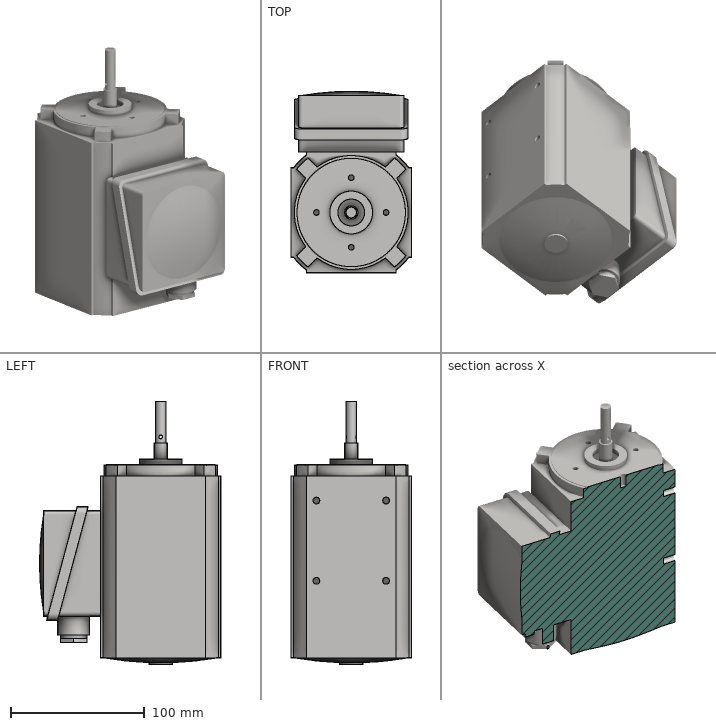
import cadquery as cq
import math

BODY_SIDE = 90.0
BODY_HEIGHT = 136.0
BODY_FLAT = 67.0
CORNER_STEP = 2.0

SIDE_HOLE_DIA = 5.0
SIDE_HOLE_DEPTH = 10.0
SIDE_HOLE_SPACING_X = 52.0
SIDE_HOLE_SPACING_Z = 60.0
SIDE_HOLE_CENTER_Z = 87.5

FLANGE_DIA = 85.0
FLANGE_THICKNESS = 8.0
LUG_WIDTH = 12.0
LUG_TIP_RADIUS = 52.0
FACE_DIA = 81.0
FACE_THICKNESS = 0.5
FACE_HOLE_DIA = 4.2
FACE_HOLE_DEPTH = 10.0
FACE_HOLE_CIRCLE_DIA = 52.0

COLLAR_DIA = 32.0
COLLAR_HEIGHT = 4.0
COLLAR_BORE_DIA = 20.0
COLLAR_BORE_DEPTH = 4.0

SHAFT_DIA = 10.0
SHAFT_SHOULDER_Z = 160.3
SHAFT_TIP_DIA = 8.0
SHAFT_TIP_Z = 191.5
CROSS_HOLE_DIA = 2.5
CROSS_HOLE_Z = 165.0

END_DOME_RADIUS = 42.0
END_DOME_HEIGHT = 3.7
END_BOSS_DIA = 17.5
END_BOSS_Z = -5.0

BOX_SIDE = 79.0
BOX_DEPTH = 42.5
BOX_CENTER_Z = 70.5
BOX_CORNER_RADIUS = 3.0
LID_DOME_RADIUS = 36.0
LID_DOME_HEIGHT = 3.0

BAND_SIDE = 85.0
BAND_CORNER_RADIUS = 5.0
BAND_WIDTH_Y = 8.2
BAND_TILT = 15.0
BAND_CENTER_OFFSET = 24.7

GLAND_X = -15.0
GLAND_OFFSET_Y = 20.0
GLAND_DIA = 24.0
GLAND_LENGTH = 14.0
NUT_ACROSS_FLATS = 20.0
NECK_LENGTH = 2.5
NUT_LENGTH = 3.0

HALF_SIDE = BODY_SIDE / 2
FLANGE_TOP = BODY_HEIGHT + FLANGE_THICKNESS
FACE_Z = FLANGE_TOP + FACE_THICKNESS
COLLAR_TOP = FACE_Z + COLLAR_HEIGHT
BOX_BASE_Y = HALF_SIDE


def cylinder(diameter, bottom, top):
    """Cylinder on the Z axis between two heights."""
    return cq.Workplane("XY").workplane(offset=bottom).circle(diameter / 2).extrude(top - bottom)


def dome(base_radius, height):
    """Spherical cap on Z = 0, bulging toward +Z."""
    sphere_radius = (base_radius ** 2 + height ** 2) / (2 * height)
    half_angle = math.asin(base_radius / sphere_radius) / 2
    arc_middle = (
        sphere_radius * math.sin(half_angle),
        height - sphere_radius * (1 - math.cos(half_angle)),
    )
    profile = (
        cq.Workplane("XZ")
        .lineTo(base_radius, 0)
        .threePointArc(arc_middle, (0, height))
        .close()
    )
    return profile.revolve(360, (0, 0, 0), (0, 1, 0))


def make_body():
    inset = HALF_SIDE - CORNER_STEP
    corner_cylinder = cylinder(2 * math.hypot(inset, BODY_FLAT / 2), 0, BODY_HEIGHT)
    core = cq.Workplane("XY").rect(2 * inset, 2 * inset).extrude(BODY_HEIGHT)
    body = core.intersect(corner_cylinder)
    for length_x, length_y in ((BODY_SIDE, BODY_FLAT), (BODY_FLAT, BODY_SIDE)):
        body = body.union(cq.Workplane("XY").rect(length_x, length_y).extrude(BODY_HEIGHT))
    return body


def make_side_holes():
    return (
        cq.Workplane("XZ", origin=(0, -HALF_SIDE, SIDE_HOLE_CENTER_Z))
        .rarray(SIDE_HOLE_SPACING_X, SIDE_HOLE_SPACING_Z, 2, 2)
        .circle(SIDE_HOLE_DIA / 2)
        .extrude(-SIDE_HOLE_DEPTH)
    )


def make_flange():
    lugs = cq.Workplane("XY").workplane(offset=BODY_HEIGHT)
    bar_length = 2 * LUG_TIP_RADIUS
    lugs = lugs.rect(bar_length, LUG_WIDTH).extrude(FLANGE_THICKNESS)
    lugs = lugs.union(lugs.rotate((0, 0, 0), (0, 0, 1), 90))
    lugs = lugs.rotate((0, 0, 0), (0, 0, 1), 45)
    lugs = lugs.intersect(cylinder(2 * LUG_TIP_RADIUS, BODY_HEIGHT, FLANGE_TOP))
    flange = cylinder(FLANGE_DIA, BODY_HEIGHT, FLANGE_TOP).union(lugs)
    flange = flange.union(cylinder(FACE_DIA, FLANGE_TOP, FACE_Z))
    return flange.union(cylinder(COLLAR_DIA, FACE_Z, COLLAR_TOP))


def make_face_holes():
    return (
        cq.Workplane("XY")
        .workplane(offset=FACE_Z)
        .polarArray(FACE_HOLE_CIRCLE_DIA / 2, 0, 360, 4)
        .circle(FACE_HOLE_DIA / 2)
        .extrude(-FACE_HOLE_DEPTH)
    )


def make_shaft():
    shaft = cylinder(SHAFT_DIA, BODY_HEIGHT, SHAFT_SHOULDER_Z)
    shaft = shaft.union(cylinder(SHAFT_TIP_DIA, SHAFT_SHOULDER_Z, SHAFT_TIP_Z))
    cross_hole = (
        cq.Workplane("YZ", origin=(0, 0, CROSS_HOLE_Z))
        .circle(CROSS_HOLE_DIA / 2)
        .extrude(SHAFT_DIA, both=True)
    )
    return shaft.cut(cross_hole)


def make_end_cap():
    end_dome = dome(END_DOME_RADIUS, END_DOME_HEIGHT).rotate((0, 0, 0), (1, 0, 0), 180)
    return end_dome.union(cylinder(END_BOSS_DIA, END_BOSS_Z, 0))


def rounded_block(side, corner_radius):
    """Square block with rounded edges, as deep as the terminal box."""
    return (
        cq.Workplane("XZ", origin=(0, BOX_BASE_Y, BOX_CENTER_Z))
        .rect(side, side)
        .extrude(-BOX_DEPTH)
        .edges("|Y")
        .fillet(corner_radius)
    )


def make_band():
    half_height = BAND_SIDE / 2
    lean = half_height * math.tan(math.radians(BAND_TILT))
    half_width = BAND_WIDTH_Y / 2
    slanted_slab = (
        cq.Workplane("YZ", origin=(0, BOX_BASE_Y + BAND_CENTER_OFFSET, BOX_CENTER_Z))
        .polyline([
            (-lean - half_width, half_height),
            (-lean + half_width, half_height),
            (lean + half_width, -half_height),
            (lean - half_width, -half_height),
        ])
        .close()
        .extrude(half_height, both=True)
    )
    return rounded_block(BAND_SIDE, BAND_CORNER_RADIUS).intersect(slanted_slab)


def make_terminal_box():
    lid_dome = (
        dome(LID_DOME_RADIUS, LID_DOME_HEIGHT)
        .rotate((0, 0, 0), (1, 0, 0), -90)
        .translate((0, BOX_BASE_Y + BOX_DEPTH, BOX_CENTER_Z))
    )
    return rounded_block(BOX_SIDE, BOX_CORNER_RADIUS).union(lid_dome).union(make_band())


def make_gland():
    box_bottom = BOX_CENTER_Z - BOX_SIDE / 2
    barrel_end = box_bottom - GLAND_LENGTH
    neck_end = barrel_end - NECK_LENGTH
    nut_corner_dia = NUT_ACROSS_FLATS / math.cos(math.radians(30))
    gland = cylinder(GLAND_DIA, barrel_end, box_bottom)
    gland = gland.union(cylinder(NUT_ACROSS_FLATS, neck_end, barrel_end))
    nut = (
        cq.Workplane("XY")
        .workplane(offset=neck_end)
        .polygon(6, nut_corner_dia)
        .extrude(-NUT_LENGTH)
    )
    return gland.union(nut).translate((GLAND_X, BOX_BASE_Y + GLAND_OFFSET_Y, 0))


housing = make_body().union(make_flange())
housing = housing.cut(cylinder(COLLAR_BORE_DIA, COLLAR_TOP - COLLAR_BORE_DEPTH, COLLAR_TOP))
housing = housing.cut(make_side_holes()).cut(make_face_holes())

result = (
    housing.union(make_shaft())
    .union(make_end_cap())
    .union(make_terminal_box())
    .union(make_gland())
)